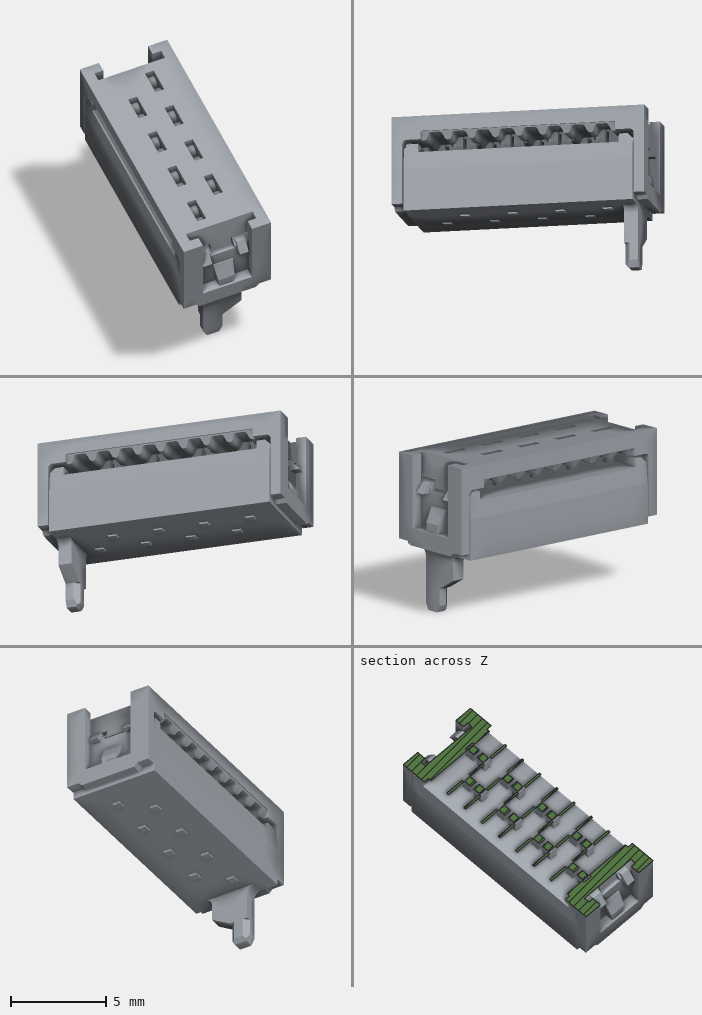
import cadquery as cq
import math


LENGTH = 13.54
WIDTH = 5.0
HALF_LENGTH = LENGTH / 2
HALF_WIDTH = WIDTH / 2
TOP_Z = 5.06

CONTACT_COUNT = 8
PITCH = 1.27
ROW_Y = 0.76
CONTACT_THICKNESS = 0.42
SLIT_HALF = 0.102
EYE_RADIUS = 0.18
EYE_HEIGHT = 0.12
CONTACT_BASE_HALF = 0.73
CONTACT_NECK_HALF = 0.58
CONTACT_HEAD_HALF = 0.66
CONTACT_PEAK_X = 0.46
CONTACT_PEAK_Z = 4.77
CONTACT_MOUTH_Z = 4.45
CONTACT_SHOULDER_Z = 4.63
FOOT_HALF = 0.27
FOOT_DEPTH = 0.08
FOOT_TAPER = 0.07

LEG_THICKNESS = 0.57
LEG_INNER_X = HALF_LENGTH - LEG_THICKNESS
CEILING_Z = 3.8
CEILING_FILLET = 0.25
LEG_SIDE_Z = 0.38
LEG_BOTTOM_Z = 0.18
LEG_TONGUE_HALF = 1.61
LEG_TONGUE_FLARE = 0.2
LEG_LEAD_IN = 0.08
WINDOW_HALF = 5.21
WINDOW_TOP_Z = 4.25
GROOVE_CREST_Z = 4.18
GROOVE_TOP_HALF = 0.32
GROOVE_MOUTH_HALF = 0.5
GROOVE_FILLET = 0.18
RIDGE_INSET = 0.07
RIDGE_BEVEL = 0.26
SLOT_LENGTH = 1.38
SLOT_WIDTH = 0.5

OPENING_HALF = 1.41
SILL_Z = 1.11
POCKET_INNER_X = 5.7
POCKET_HALF = 1.91
POCKET_DRAFT = 0.19
TAB_HALF = 0.58
TAB_BOTTOM_Z = 3.35

BODY_HALF = 6.13
FLOOR_Z = 3.14
POST_TOP_Z = 3.6
POST_INNER_X = 5.38
POST_CHAMFER = 0.28
POST_SLOT_HALF = 0.68
KNEE_Z = 2.21
SLOPE_SETBACK = 0.1

HOOK_Y = 1.04
HOOK_WIDTH = 0.5
HOOK_INNER_X = BODY_HALF - POST_CHAMFER
HOOK_TIP_X = 6.6
HOOK_TIP_Z = 3.06
HOOK_BOTTOM_Z = 3.03
LATCH_TOP_Z = 2.38
LATCH_KNEE_Z = 1.6
LATCH_TIP_X = 6.65
LATCH_LEDGE = 0.07
LATCH_TOP_HALF = 0.55
LATCH_BOTTOM_HALF = 0.4

PEG_INNER_X = 5.39
PEG_HALF = 1.08
PEG_ROOT_FILLET = 0.39
PEG_SHOULDER_Z = -1.35
PEG_NECK_Z = -1.99
PEG_TIP_Z = -3.29
PEG_EDGE_X = 0.28
PEG_EDGE_Y = 0.27
PEG_TIP_SIDE = 0.19
PEG_TIP_SIDE_RISE = 0.37
PEG_TIP_END = 0.23
PEG_TIP_END_RISE = 0.23


def box(x0, x1, y0, y1, z0, z1):
    return cq.Workplane("XY").box(x1 - x0, y1 - y0, z1 - z0, centered=False).translate((x0, y0, z0))


def along_y(points, y0, y1):
    """Extrude an XZ polygon from y0 to y1."""
    return cq.Workplane("XZ", origin=(0, y0, 0)).polyline(points).close().extrude(y0 - y1)


def along_x(points, x0, x1):
    """Extrude a YZ polygon from x0 to x1."""
    return cq.Workplane("YZ", origin=(x0, 0, 0)).polyline(points).close().extrude(x1 - x0)


def both_ends(solid):
    """Add the mirror image of a -X end feature at the +X end."""
    return solid.union(solid.mirror("YZ"))


def contact_position(index):
    """Contacts alternate between the two rows, starting in the +Y row."""
    x = (index - (CONTACT_COUNT - 1) / 2) * PITCH
    y = ROW_Y if index % 2 == 0 else -ROW_Y
    return x, y


CONTACTS = [contact_position(i) for i in range(CONTACT_COUNT)]


def make_cable_ridges():
    """Ribs under the cover that leave one cable groove over each contact."""
    outline = [(-WINDOW_HALF, WINDOW_TOP_Z), (-WINDOW_HALF, CEILING_Z)]
    for x, _ in CONTACTS:
        outline += [
            (x - GROOVE_MOUTH_HALF, CEILING_Z),
            (x - GROOVE_TOP_HALF, GROOVE_CREST_Z),
            (x + GROOVE_TOP_HALF, GROOVE_CREST_Z),
            (x + GROOVE_MOUTH_HALF, CEILING_Z),
        ]
    outline += [(WINDOW_HALF, CEILING_Z), (WINDOW_HALF, WINDOW_TOP_Z)]
    ridges = along_y(outline, -HALF_WIDTH, HALF_WIDTH)
    groove_corners = cq.selectors.BoxSelector(
        (-WINDOW_HALF + GROOVE_FILLET, -HALF_WIDTH, CEILING_Z - GROOVE_FILLET),
        (WINDOW_HALF - GROOVE_FILLET, HALF_WIDTH, WINDOW_TOP_Z),
    )
    ridges = ridges.edges("|Y").edges(groove_corners).fillet(GROOVE_FILLET)
    root_half = HALF_WIDTH - RIDGE_INSET
    bevel_section = [
        (-root_half, WINDOW_TOP_Z),
        (root_half, WINDOW_TOP_Z),
        (root_half - RIDGE_BEVEL, CEILING_Z),
        (-root_half + RIDGE_BEVEL, CEILING_Z),
    ]
    return ridges.intersect(along_x(bevel_section, -WINDOW_HALF, WINDOW_HALF))


def make_end_pocket():
    """Drafted pocket through the cover top at the -X end; its outer wall is upright."""
    outer_x = -LEG_INNER_X
    top_x = -POCKET_INNER_X
    bottom_x = top_x - POCKET_DRAFT
    bottom_half = POCKET_HALF - POCKET_DRAFT

    def outline(inner_x, half):
        return [(outer_x, -half), (inner_x, -half), (inner_x, half), (outer_x, half)]

    pocket = (
        cq.Workplane("XY", origin=(0, 0, CEILING_Z))
        .polyline(outline(bottom_x, bottom_half))
        .close()
        .workplane(offset=TOP_Z - CEILING_Z)
        .polyline(outline(top_x, POCKET_HALF))
        .close()
        .loft(ruled=True)
    )
    corner = box(outer_x, bottom_x, -bottom_half, bottom_half, CEILING_Z - CEILING_FILLET, CEILING_Z)
    return pocket.union(corner)


def make_cover():
    cover = box(-HALF_LENGTH, HALF_LENGTH, -HALF_WIDTH, HALF_WIDTH, LEG_BOTTOM_Z, TOP_Z)

    cavity = box(-LEG_INNER_X, LEG_INNER_X, -HALF_WIDTH, HALF_WIDTH, LEG_BOTTOM_Z, CEILING_Z)
    cover = cover.cut(cavity.edges("|Y and >Z").fillet(CEILING_FILLET))
    cover = cover.cut(box(-WINDOW_HALF, WINDOW_HALF, -HALF_WIDTH, HALF_WIDTH, CEILING_Z, WINDOW_TOP_Z))
    cover = cover.union(make_cable_ridges())

    tongue_root = LEG_TONGUE_HALF + LEG_TONGUE_FLARE
    for side in (-1, 1):
        corner = [
            (side * LEG_TONGUE_HALF, LEG_BOTTOM_Z),
            (side * tongue_root, LEG_SIDE_Z),
            (side * HALF_WIDTH, LEG_SIDE_Z),
            (side * HALF_WIDTH, LEG_BOTTOM_Z),
        ]
        cover = cover.cut(along_x(corner, -HALF_LENGTH, HALF_LENGTH))
    lead_in = [
        (-LEG_INNER_X, LEG_BOTTOM_Z),
        (-LEG_INNER_X - LEG_LEAD_IN, LEG_BOTTOM_Z),
        (-LEG_INNER_X, LEG_BOTTOM_Z + LEG_LEAD_IN),
    ]
    cover = cover.cut(both_ends(along_y(lead_in, -LEG_TONGUE_HALF, LEG_TONGUE_HALF)))

    opening = box(-HALF_LENGTH, -LEG_INNER_X, -OPENING_HALF, OPENING_HALF, SILL_Z, TOP_Z)
    cover = cover.cut(both_ends(opening)).cut(both_ends(make_end_pocket()))

    wall_x = -POCKET_INNER_X - POCKET_DRAFT
    tab_run = POCKET_DRAFT * (CEILING_Z - TAB_BOTTOM_Z) / (TOP_Z - CEILING_Z)
    tab = [
        (wall_x, CEILING_Z),
        (wall_x - tab_run, TAB_BOTTOM_Z),
        (-WINDOW_HALF, TAB_BOTTOM_Z),
        (-WINDOW_HALF, CEILING_Z),
    ]
    cover = cover.union(both_ends(along_y(tab, -TAB_HALF, TAB_HALF)))

    slots = cq.Workplane("XY", origin=(0, 0, CEILING_Z)).pushPoints(CONTACTS)
    return cover.cut(slots.rect(SLOT_LENGTH, SLOT_WIDTH).extrude(TOP_Z - CEILING_Z))


def make_body():
    slope = SLOPE_SETBACK / (FLOOR_Z - KNEE_Z)
    top_half = HALF_WIDTH - slope * (POST_TOP_Z - KNEE_Z)
    section = [
        (-HALF_WIDTH, 0),
        (HALF_WIDTH, 0),
        (HALF_WIDTH, KNEE_Z),
        (top_half, POST_TOP_Z),
        (-top_half, POST_TOP_Z),
        (-HALF_WIDTH, KNEE_Z),
    ]
    body = along_x(section, -BODY_HALF, BODY_HALF)
    body = body.edges("(<X or >X) and >Z").chamfer(POST_CHAMFER)
    body = body.cut(box(-POST_INNER_X, POST_INNER_X, -HALF_WIDTH, HALF_WIDTH, FLOOR_Z, POST_TOP_Z))
    return body.cut(box(-BODY_HALF, BODY_HALF, -POST_SLOT_HALF, POST_SLOT_HALF, FLOOR_Z, POST_TOP_Z))


def make_snaps():
    """Two upper hooks and one lower latch on the -X end."""
    hook = [
        (-HOOK_INNER_X, POST_TOP_Z),
        (-BODY_HALF, POST_TOP_Z),
        (-HOOK_TIP_X, HOOK_TIP_Z),
        (-HOOK_TIP_X, HOOK_BOTTOM_Z),
        (-HOOK_INNER_X, HOOK_BOTTOM_Z),
    ]
    latch = [
        (-BODY_HALF, LATCH_TOP_Z),
        (-BODY_HALF - LATCH_LEDGE, LATCH_TOP_Z),
        (-LATCH_TIP_X, LATCH_KNEE_Z),
        (-LATCH_TIP_X, SILL_Z),
        (-BODY_HALF, SILL_Z),
    ]
    latch_front = [
        (-LATCH_TOP_HALF, LATCH_TOP_Z),
        (LATCH_TOP_HALF, LATCH_TOP_Z),
        (LATCH_BOTTOM_HALF, SILL_Z),
        (-LATCH_BOTTOM_HALF, SILL_Z),
    ]
    snaps = along_y(latch, -LATCH_TOP_HALF, LATCH_TOP_HALF)
    snaps = snaps.intersect(along_x(latch_front, -HALF_LENGTH, -BODY_HALF))
    for y in (-HOOK_Y, HOOK_Y):
        snaps = snaps.union(along_y(hook, y - HOOK_WIDTH / 2, y + HOOK_WIDTH / 2))
    return snaps


def make_contact():
    """Forked contact centred on X = 0, Y = 0, with rounded tips and a keyhole slit."""
    half = CONTACT_THICKNESS / 2
    slit_mouth = (SLIT_HALF, CONTACT_MOUTH_Z)
    shoulder = (CONTACT_HEAD_HALF, CONTACT_SHOULDER_Z)

    def crown_point(end):
        """Middle of the rounded crown between the peak of a prong and a lower end point."""
        end_x, end_z = end
        x = CONTACT_PEAK_X + (end_x - CONTACT_PEAK_X) * math.sqrt(0.5)
        z = end_z + (CONTACT_PEAK_Z - end_z) * math.sqrt(0.5)
        return x, z

    def prong(side):
        def at(point):
            return side * point[0], point[1]

        return (
            cq.Workplane("XZ", origin=(0, half, 0))
            .moveTo(side * SLIT_HALF, FLOOR_Z)
            .lineTo(*at(slit_mouth))
            .threePointArc(at(crown_point(slit_mouth)), (side * CONTACT_PEAK_X, CONTACT_PEAK_Z))
            .threePointArc(at(crown_point(shoulder)), at(shoulder))
            .lineTo(side * CONTACT_NECK_HALF, CEILING_Z)
            .lineTo(side * CONTACT_BASE_HALF, FLOOR_Z)
            .close()
            .extrude(CONTACT_THICKNESS)
        )

    eye_plane = cq.Workplane("XZ", origin=(0, half, FLOOR_Z + EYE_HEIGHT))
    eye = eye_plane.circle(EYE_RADIUS).extrude(CONTACT_THICKNESS)
    foot = [
        (-FOOT_HALF, 0),
        (FOOT_HALF, 0),
        (FOOT_HALF - FOOT_TAPER, -FOOT_DEPTH),
        (-FOOT_HALF + FOOT_TAPER, -FOOT_DEPTH),
    ]
    return prong(-1).union(prong(1)).cut(eye).union(along_y(foot, -half, half))


def make_peg():
    """Board peg at the +X end: a wide shoulder that narrows to a chamfered pin on the -Y side."""
    blade = (
        cq.Workplane("YZ", origin=(PEG_INNER_X, 0, 0))
        .moveTo(-PEG_HALF - PEG_ROOT_FILLET, 0)
        .radiusArc((-PEG_HALF, -PEG_ROOT_FILLET), PEG_ROOT_FILLET)
        .lineTo(-PEG_HALF, PEG_TIP_Z + PEG_TIP_SIDE_RISE)
        .lineTo(-PEG_HALF + PEG_TIP_SIDE, PEG_TIP_Z)
        .lineTo(-PEG_TIP_SIDE, PEG_TIP_Z)
        .lineTo(0, PEG_TIP_Z + PEG_TIP_SIDE_RISE)
        .lineTo(0, PEG_NECK_Z)
        .lineTo(PEG_HALF, PEG_SHOULDER_Z)
        .lineTo(PEG_HALF, -PEG_ROOT_FILLET)
        .radiusArc((PEG_HALF + PEG_ROOT_FILLET, 0), PEG_ROOT_FILLET)
        .close()
        .extrude(BODY_HALF - PEG_INNER_X)
    )
    for edge_y, inward in ((-PEG_HALF, 1), (0, -1)):
        edge = [
            (PEG_INNER_X, edge_y),
            (PEG_INNER_X + PEG_EDGE_X, edge_y),
            (PEG_INNER_X, edge_y + inward * PEG_EDGE_Y),
        ]
        cutter = cq.Workplane("XY", origin=(0, 0, PEG_TIP_Z)).polyline(edge).close()
        blade = blade.cut(cutter.extrude(PEG_NECK_Z - PEG_TIP_Z))
    tip_end = [
        (PEG_INNER_X, PEG_TIP_Z),
        (PEG_INNER_X + PEG_TIP_END, PEG_TIP_Z),
        (PEG_INNER_X, PEG_TIP_Z + PEG_TIP_END_RISE),
    ]
    return blade.cut(along_y(tip_end, -PEG_HALF, 0))


result = make_cover().union(make_body()).union(both_ends(make_snaps())).union(make_peg())
contact = make_contact()
for contact_x, contact_y in CONTACTS:
    result = result.union(contact.translate((contact_x, contact_y, 0)))
result = result.clean()